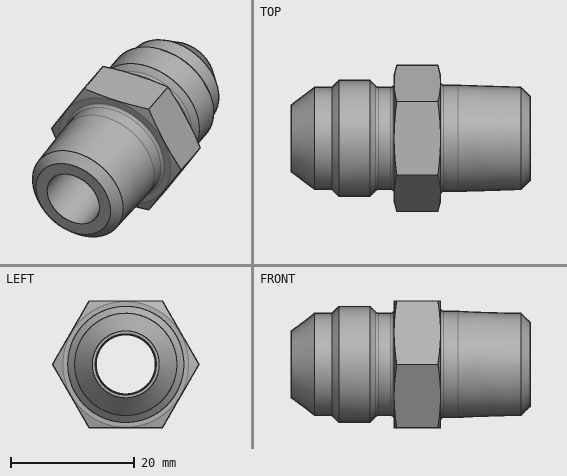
import cadquery as cq
import math

length = 38.85
hex_start = 16.7
hex_end = 24.3

seat_angle = math.radians(37)
neck_radius = 16.65 / 2
nose_tip_radius = 5.45
seat_end = (neck_radius - nose_tip_radius) / math.tan(seat_angle)
collar_radius = 18.9 / 2
collar_rise_start = 6.6
collar_start = 7.77
collar_end = 12.8
collar_blend_radius = 0.65
neck_fillet = 0.55

thread_radius = 17.3 / 2
thread_fillet = 0.45
taper_start = 27.1
taper_end = 37.3
taper_slope = 1 / 32
thread_end_radius = thread_radius - taper_slope * (taper_end - taper_start)
end_radius = 6.85

across_flats = 20.65
across_corners = across_flats / math.cos(math.pi / 6)
hex_face_radius = 20.45 / 2
hex_chamfer_angle = math.radians(15)

nose_bore_diameter = 9.95
rear_bore_diameter = 9.6
bore_step = (hex_start + hex_end) / 2


def revolve_about_x(profile):
    return profile.close().revolve(360, (0, 0, 0), (1, 0, 0))


def make_nose():
    """Conical seat, collar and neck, running into the hexagon."""
    half_turn = math.radians(45) / 2
    blend_run = collar_blend_radius * math.sin(2 * half_turn)
    blend_rise = collar_blend_radius * (1 - math.cos(2 * half_turn))
    blend_start = collar_end + collar_radius - neck_radius - blend_rise
    blend_end = blend_start + blend_run
    blend_middle = (
        blend_end - collar_blend_radius * math.sin(half_turn),
        neck_radius + collar_blend_radius * (1 - math.cos(half_turn)),
    )
    fillet_middle = neck_fillet * (1 - math.sqrt(0.5))
    profile = (
        cq.Workplane("XY")
        .moveTo(0, 0)
        .lineTo(0, nose_tip_radius)
        .lineTo(seat_end, neck_radius)
        .lineTo(collar_rise_start, neck_radius)
        .lineTo(collar_start, collar_radius)
        .lineTo(collar_end, collar_radius)
        .lineTo(blend_start, neck_radius + blend_rise)
        .threePointArc(blend_middle, (blend_end, neck_radius))
        .lineTo(hex_start - neck_fillet, neck_radius)
        .threePointArc(
            (hex_start - fillet_middle, neck_radius + fillet_middle),
            (hex_start, neck_radius + neck_fillet),
        )
        .lineTo(hex_end, neck_radius + neck_fillet)
        .lineTo(hex_end, 0)
    )
    return revolve_about_x(profile)


def make_threaded_end():
    """Straight shoulder, tapered thread envelope and end chamfer."""
    fillet_middle = thread_fillet * (1 - math.sqrt(0.5))
    profile = (
        cq.Workplane("XY")
        .moveTo(hex_start, 0)
        .lineTo(hex_start, thread_radius)
        .lineTo(hex_end, thread_radius + thread_fillet)
        .threePointArc(
            (hex_end + fillet_middle, thread_radius + fillet_middle),
            (hex_end + thread_fillet, thread_radius),
        )
        .lineTo(taper_start, thread_radius)
        .lineTo(taper_end, thread_end_radius)
        .lineTo(length, end_radius)
        .lineTo(length, 0)
    )
    return revolve_about_x(profile)


def make_hexagon():
    """Hexagon with corners on the Y axis and both faces chamfered."""
    prism = (
        cq.Workplane("YZ", origin=(hex_start, 0, 0))
        .polygon(6, across_corners)
        .extrude(hex_end - hex_start)
    )
    corner_radius = across_corners / 2
    chamfer_depth = (corner_radius - hex_face_radius) * math.tan(hex_chamfer_angle)
    envelope = (
        cq.Workplane("XY")
        .moveTo(hex_start, 0)
        .lineTo(hex_start, hex_face_radius)
        .lineTo(hex_start + chamfer_depth, corner_radius)
        .lineTo(hex_end - chamfer_depth, corner_radius)
        .lineTo(hex_end, hex_face_radius)
        .lineTo(hex_end, 0)
    )
    return prism.intersect(revolve_about_x(envelope))


def make_bore():
    """Through bore, slightly wider on the nose side."""
    rear = cq.Workplane("YZ").circle(rear_bore_diameter / 2).extrude(length)
    front = cq.Workplane("YZ").circle(nose_bore_diameter / 2).extrude(bore_step)
    return rear.union(front)


result = make_hexagon().union(make_nose()).union(make_threaded_end()).cut(make_bore())